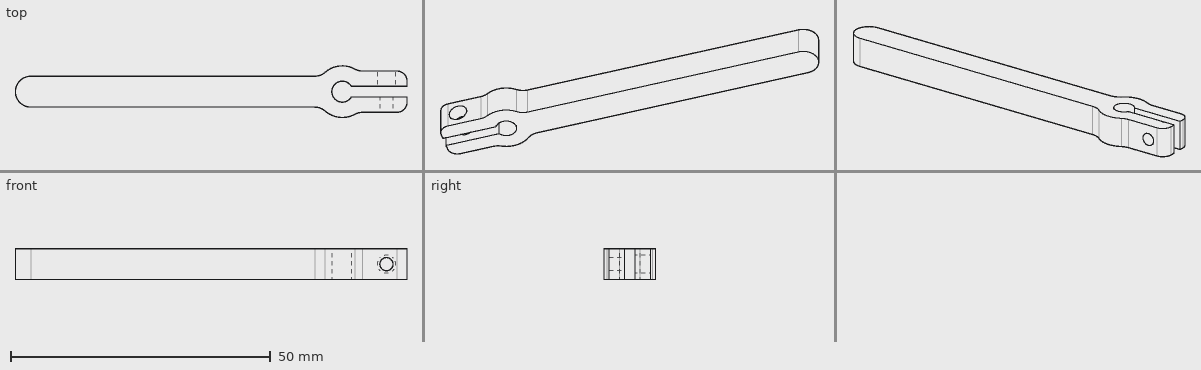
import cadquery as cq
import math

thickness = 6.0
handle_width = 6.0
handle_length = 60.0
eye_radius = 5.0
eye_bore_diameter = 4.0
jaw_width = 8.0
jaw_reach = 12.5
jaw_corner_radius = 2.0
slot_width = 2.0
blend_radius = 3.0
tapped_hole_diameter = 2.5
clearance_hole_diameter = 3.5
screw_hole_x = 8.5

handle_half = handle_width / 2
jaw_half = jaw_width / 2


def blend_points(half_width, side):
    """Blend between a straight edge at y = half_width and the eye.

    side is -1 towards the handle and +1 towards the jaws.
    Returns the tangent point on the edge, the arc midpoint and the tangent point on the eye.
    """
    centre_distance = eye_radius + blend_radius
    centre_y = half_width + blend_radius
    centre_x = side * math.sqrt(centre_distance**2 - centre_y**2)
    on_edge = (centre_x, half_width)
    eye_share = eye_radius / centre_distance
    on_eye = (centre_x * eye_share, centre_y * eye_share)
    angle_to_eye = math.atan2(-centre_y, -centre_x)
    mid_angle = (angle_to_eye - math.pi / 2) / 2
    middle = (
        centre_x + blend_radius * math.cos(mid_angle),
        centre_y + blend_radius * math.sin(mid_angle),
    )
    return on_edge, middle, on_eye


def make_body():
    """Handle, eye and jaws: a half outline mirrored about the X axis and extruded."""
    handle_edge, handle_blend, handle_eye = blend_points(handle_half, -1)
    jaw_edge, jaw_blend, jaw_eye = blend_points(jaw_half, 1)
    diagonal = math.sqrt(0.5)
    handle_end_middle = (-handle_length - handle_half * diagonal, handle_half * diagonal)
    corner_inset = jaw_corner_radius * (1 - diagonal)
    corner_middle = (jaw_reach - corner_inset, jaw_half - corner_inset)

    outline = (
        cq.Workplane("XY")
        .workplane(offset=-thickness / 2)
        .moveTo(-handle_length - handle_half, 0)
        .threePointArc(handle_end_middle, (-handle_length, handle_half))
        .lineTo(*handle_edge)
        .threePointArc(handle_blend, handle_eye)
        .threePointArc((0, eye_radius), jaw_eye)
        .threePointArc(jaw_blend, jaw_edge)
        .lineTo(jaw_reach - jaw_corner_radius, jaw_half)
        .threePointArc(corner_middle, (jaw_reach, jaw_half - jaw_corner_radius))
        .lineTo(jaw_reach, 0)
        .mirrorX()
    )
    return outline.extrude(thickness)


def make_eye_bore():
    """Bore through the eye along Z."""
    return cq.Workplane("XY").circle(eye_bore_diameter / 2).extrude(thickness, both=True)


def make_slot():
    """Slot from the eye bore out through the jaw tips."""
    return cq.Workplane("XY").box(jaw_reach, slot_width, thickness).translate((jaw_reach / 2, 0, 0))


def make_jaw_hole(diameter, side):
    """Screw hole along Y through the jaw on the given side (-1 or +1) of the slot."""
    return (
        cq.Workplane("XZ")
        .center(screw_hole_x, 0)
        .circle(diameter / 2)
        .extrude(-side * jaw_width)
    )


result = (
    make_body()
    .cut(make_eye_bore())
    .cut(make_slot())
    .cut(make_jaw_hole(tapped_hole_diameter, -1))
    .cut(make_jaw_hole(clearance_hole_diameter, 1))
)